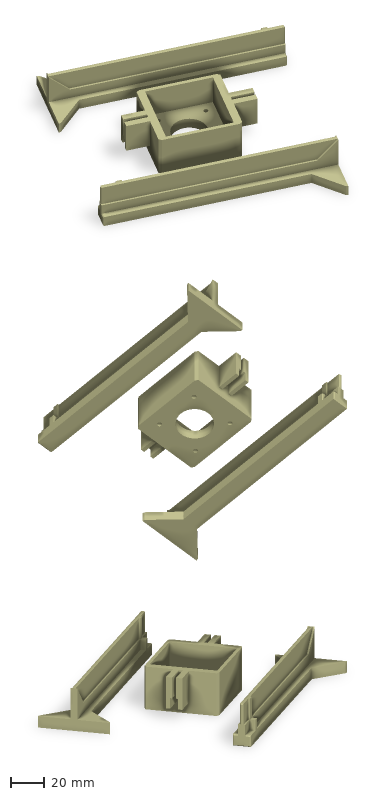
import cadquery as cq

OVERALL_LENGTH = 149.3
HEIGHT = 27.0
LEG_PITCH = 104.6
HOUSING_OFFSET_Y = -2.0

LEG_LENGTH = 148.7
FOOT_WIDTH = 44.8
FOOT_LENGTH = 18.0
TIP_LENGTH = 1.5
BASE_WIDTH = 11.2
BASE_HEIGHT = 7.2
STEP_Z = 13.9
WEB_THICKNESS = 4.5
BLADE_THICKNESS = 2.2
END_CHAMFER = 0.6

STOP_SETBACK = 10.2
STOP_LENGTH = 3.9
STOP_CHAMFER = 0.5

HOUSING_WIDTH = 46.6
HOUSING_LENGTH = 52.6
CAVITY_WIDTH = 42.1
CAVITY_LENGTH = 42.6
FLOOR = BASE_HEIGHT
CORNER_X = 1.2
CORNER_Y = 2.0
BORE_DIAMETER = 23.0
SCREW_DIAMETER = 3.0
SCREW_PITCH = 29.9

FORK_LENGTH = 15.0
FORK_WIDTH = 10.2
WEB_SLOT = 5.1
BLADE_SLOT = 2.4


def block(width, y_start, y_end, z_start, z_end, x_center=0.0):
    """Box centred on x_center and spanning the given Y and Z ranges."""
    return (
        cq.Workplane("XY")
        .box(width, y_end - y_start, z_end - z_start, centered=(True, False, False))
        .translate((x_center, y_start, z_start))
    )


def leg_base():
    """Base bar with its flared foot at Y = 0 and a chamfered free end."""
    half_bar = BASE_WIDTH / 2
    half_foot = FOOT_WIDTH / 2
    half_facet = half_bar + FOOT_LENGTH - TIP_LENGTH
    right_side = [
        (half_foot, 0),
        (half_facet, TIP_LENGTH),
        (half_bar, FOOT_LENGTH),
        (half_bar, LEG_LENGTH),
    ]
    left_side = [(-x, y) for x, y in reversed(right_side)]
    base = cq.Workplane("XY").polyline(right_side + left_side).close().extrude(BASE_HEIGHT)
    return base.faces(">Y").edges().chamfer(END_CHAMFER)


def leg_web():
    """Upright web: thick below the step, a thin blade above, a 45 degree gusset at the foot."""
    root_z = BASE_HEIGHT - END_CHAMFER
    web = block(WEB_THICKNESS, 0, LEG_LENGTH, root_z, STEP_Z)
    blade = block(BLADE_THICKNESS, 0, LEG_LENGTH, STEP_Z, HEIGHT)
    blade = blade.faces(">Y").edges("|Z or >Z").chamfer(END_CHAMFER)
    gusset = (
        cq.Workplane("YZ")
        .polyline([(0, STEP_Z), (HEIGHT - STEP_Z, STEP_Z), (0, HEIGHT)])
        .close()
        .extrude(WEB_THICKNESS / 2, both=True)
    )
    return web.union(blade).union(gusset)


def leg_stop():
    """Stop block on the base's -X edge, with a pad above it that thickens the blade."""
    near = LEG_LENGTH - STOP_SETBACK
    far = near - STOP_LENGTH
    block_width = (BASE_WIDTH - WEB_THICKNESS) / 2
    block_x = -(BASE_WIDTH + WEB_THICKNESS) / 4
    stop = block(block_width, far, near, BASE_HEIGHT, STEP_Z, block_x)
    pad_width = (WEB_THICKNESS - BLADE_THICKNESS) / 2
    pad_x = -(WEB_THICKNESS + BLADE_THICKNESS) / 4
    pad = block(pad_width, far, near, STEP_Z, HEIGHT, pad_x)
    stop = stop.edges("|Z and <X and >Y").chamfer(STOP_CHAMFER)
    pad = pad.edges("|Z and <X and >Y").chamfer(STOP_CHAMFER)
    return stop, pad


def make_leg():
    """Leg with its foot at Y = 0 and its free end toward +Y."""
    stop, pad = leg_stop()
    return leg_base().union(leg_web()).union(stop).union(pad)


def housing_fork():
    """Fork prongs beyond the +Y wall, slotted for the web and for the thinner blade."""
    wall = HOUSING_LENGTH / 2
    tip = wall + FORK_LENGTH
    fork = block(FORK_WIDTH, wall, tip, BASE_HEIGHT, HEIGHT)
    web_slot = block(WEB_SLOT, wall, tip, BASE_HEIGHT, STEP_Z)
    blade_slot = block(BLADE_SLOT, wall, tip, STEP_Z, HEIGHT)
    return fork.cut(web_slot).cut(blade_slot)


def housing_box():
    """Open-topped box with bevelled corners, a motor bore and four screw holes."""
    half_x = HOUSING_WIDTH / 2
    half_y = HOUSING_LENGTH / 2
    outline = []
    for sx, sy in [(1, 1), (-1, 1), (-1, -1), (1, -1)]:
        corner = [
            (sx * half_x, sy * (half_y - CORNER_Y)),
            (sx * (half_x - CORNER_X), sy * half_y),
        ]
        outline += corner if sx == sy else corner[::-1]
    box = cq.Workplane("XY").polyline(outline).close().extrude(HEIGHT)
    box = box.cut(block(CAVITY_WIDTH, -CAVITY_LENGTH / 2, CAVITY_LENGTH / 2, FLOOR, HEIGHT))
    bore = cq.Workplane("XY").circle(BORE_DIAMETER / 2).extrude(FLOOR)
    screws = (
        cq.Workplane("XY")
        .rect(SCREW_PITCH, SCREW_PITCH, forConstruction=True)
        .vertices()
        .circle(SCREW_DIAMETER / 2)
        .extrude(FLOOR)
    )
    return box.cut(bore).cut(screws)


def make_housing():
    """Motor housing with a fork on each Y end."""
    fork = housing_fork()
    return housing_box().union(fork).union(fork.mirror("XZ"))


leg = make_leg().translate((0, -OVERALL_LENGTH / 2, 0))
legs = []
for side, placed_leg in [(-1, leg), (1, leg.mirror("XZ"))]:
    legs.append(placed_leg.translate((side * LEG_PITCH / 2, 0, 0)))

housing = make_housing().translate((0, HOUSING_OFFSET_Y, 0))

result = cq.Compound.makeCompound([housing.val(), *[placed.val() for placed in legs]])